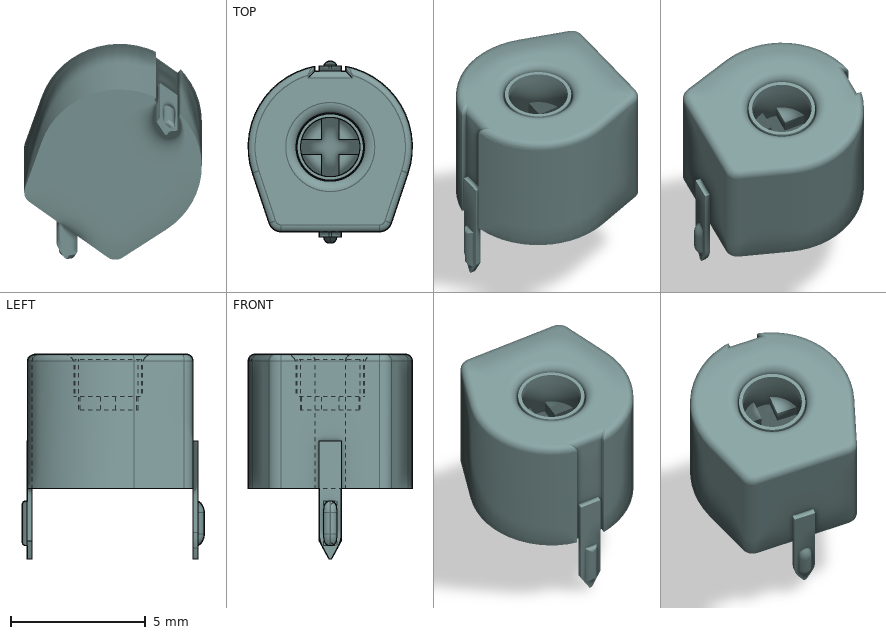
import cadquery as cq
import math

barrel_radius = 3.05
front_y = -3.15
side_taper = math.atan(1 / 3)
base_z = 2.615
top_z = 7.6
corner_radius = 0.48
rim_fillet = 0.26
notch_width = 1.13
notch_floor_y = 2.82

bore_diameter = 2.54
mouth_diameter = 3.305
rotor_diameter = 2.46
cup_diameter = 2.205
rotor_drop = 0.2
cup_floor_z = top_z - 1.58
slot_x_width = 0.63
slot_y_width = 0.555
slot_depth = 0.5

pin_width = 0.82
front_pin_thickness = 0.2
front_pin_sink = 0.01
rear_pin_thickness = 0.19
pin_top_z = 4.38
pin_shoulder_z = 0.68
pin_tip_width = 0.09
front_shoulder_radius = 1.215
front_pin_y = front_y + front_pin_sink - front_pin_thickness
rear_pin_y = notch_floor_y + rear_pin_thickness

bead_width = 0.49
bead_bottom_z = 0.495
bead_top_z = 2.15
front_bead_height = 0.23
front_bead_straight = 0.805
rear_bead_height = 0.18
rear_bead_fillet = 0.14


def make_housing():
    """Extruded outline with rounded front corners, a rear notch and a filleted top rim."""
    tangent_x = barrel_radius * math.cos(side_taper)
    tangent_y = -barrel_radius * math.sin(side_taper)
    corner_x = (barrel_radius + front_y * math.sin(side_taper)) / math.cos(side_taper)
    body = (
        cq.Workplane("XY", origin=(0, 0, base_z))
        .moveTo(-corner_x, front_y)
        .lineTo(corner_x, front_y)
        .lineTo(tangent_x, tangent_y)
        .threePointArc((0, barrel_radius), (-tangent_x, tangent_y))
        .close()
        .extrude(top_z - base_z)
    )
    body = body.edges("|Z and <Y").fillet(corner_radius)
    notch = cq.Workplane("XY", origin=(0, notch_floor_y, base_z)).box(
        notch_width, barrel_radius - notch_floor_y, top_z - base_z, centered=(True, False, False)
    )
    return body.cut(notch).faces(">Z").edges().fillet(rim_fillet)


def disc(diameter, bottom_z, height):
    """Upright cylinder on the rotor axis."""
    return cq.Workplane("XY", origin=(0, 0, bottom_z)).circle(diameter / 2).extrude(height)


def make_bore():
    """Bore down to the cup floor, with its mouth flared by a quarter-round."""
    bore_radius = bore_diameter / 2
    mouth_radius = mouth_diameter / 2
    flare = mouth_radius - bore_radius
    bend = flare * (1 - math.sqrt(0.5))
    return (
        cq.Workplane("XZ")
        .moveTo(0, cup_floor_z)
        .lineTo(bore_radius, cup_floor_z)
        .lineTo(bore_radius, top_z - flare)
        .threePointArc((bore_radius + bend, top_z - bend), (mouth_radius, top_z))
        .lineTo(0, top_z)
        .close()
        .revolve(360, (0, 0), (0, 1))
    )


def make_rotor_wall():
    """Thin tube standing in the bore, its rim below the top face."""
    height = top_z - rotor_drop - cup_floor_z
    return disc(rotor_diameter, cup_floor_z, height).cut(disc(cup_diameter, cup_floor_z, height))


def make_cross_slot():
    """Crossed screwdriver slots that end at the cup wall."""
    bottom = cq.Workplane("XY", origin=(0, 0, cup_floor_z - slot_depth))
    along_y = bottom.rect(slot_x_width, cup_diameter).extrude(slot_depth)
    along_x = bottom.rect(cup_diameter, slot_y_width).extrude(slot_depth)
    return along_y.union(along_x).intersect(disc(cup_diameter, cup_floor_z - slot_depth, slot_depth))


def make_pin(front_face_y, thickness):
    """Flat pin with a tapered tip, running back from its front face."""
    return (
        cq.Workplane("XZ", origin=(0, front_face_y, 0))
        .moveTo(-pin_width / 2, pin_top_z)
        .lineTo(-pin_width / 2, pin_shoulder_z)
        .lineTo(-pin_tip_width / 2, 0)
        .lineTo(pin_tip_width / 2, 0)
        .lineTo(pin_width / 2, pin_shoulder_z)
        .lineTo(pin_width / 2, pin_top_z)
        .close()
        .extrude(-thickness)
    )


def make_front_pin():
    """Front pin, with its taper shoulders rounded."""
    pin = make_pin(front_pin_y, front_pin_thickness)
    shoulders = cq.selectors.BoxSelector(
        (-pin_width, front_pin_y, pin_shoulder_z / 2),
        (pin_width, front_pin_y + front_pin_thickness, pin_top_z / 2),
    )
    return pin.edges("|Y").edges(shoulders).fillet(front_shoulder_radius)


def make_front_bead():
    """Bead of two quarter-rounds and a narrow flat crest, whose ends bend back into the pin."""
    bend_length = (bead_top_z - bead_bottom_z - front_bead_straight) / 2
    axis_depth = (bend_length**2 - front_bead_height**2) / (2 * front_bead_height)
    straight_bottom_z = bead_bottom_z + bend_length
    straight_top_z = straight_bottom_z + front_bead_straight

    crest_x = bead_width / 2 - front_bead_height
    bend = front_bead_height * math.sqrt(0.5)

    def profile(z):
        return (
            cq.Workplane("XY", origin=(0, front_pin_y, z))
            .moveTo(-bead_width / 2, 0)
            .threePointArc((-crest_x - bend, -bend), (-crest_x, -front_bead_height))
            .lineTo(crest_x, -front_bead_height)
            .threePointArc((crest_x + bend, -bend), (bead_width / 2, 0))
            .close()
        )

    bead = profile(straight_bottom_z).extrude(front_bead_straight)
    top_end = profile(straight_top_z).revolve(90, (0, axis_depth), (-1, axis_depth))
    bottom_end = profile(straight_bottom_z).revolve(90, (0, axis_depth), (1, axis_depth))
    outside = cq.Workplane("XY", origin=(0, front_pin_y - front_bead_height, bead_bottom_z)).box(
        bead_width, front_bead_height, bead_top_z - bead_bottom_z, centered=(True, False, False)
    )
    return bead.union(top_end.union(bottom_end).intersect(outside))


def make_rear_bead():
    """Half-round bead, its ends rounded where the crest meets them."""
    length = bead_top_z - bead_bottom_z
    half_round = (
        cq.Workplane("XY", origin=(0, rear_pin_y, bead_bottom_z))
        .moveTo(-bead_width / 2, 0)
        .threePointArc((0, rear_bead_height), (bead_width / 2, 0))
        .close()
        .extrude(length)
    )
    rounded_block = (
        cq.Workplane("XY", origin=(0, rear_pin_y, bead_bottom_z))
        .box(bead_width, rear_bead_height, length, centered=(True, False, False))
        .edges("|X and >Y")
        .fillet(rear_bead_fillet)
    )
    return half_round.intersect(rounded_block)


result = (
    make_housing()
    .cut(make_bore())
    .union(make_rotor_wall())
    .cut(make_cross_slot())
    .union(make_front_pin())
    .union(make_pin(notch_floor_y, rear_pin_thickness))
    .union(make_front_bead())
    .union(make_rear_bead())
)